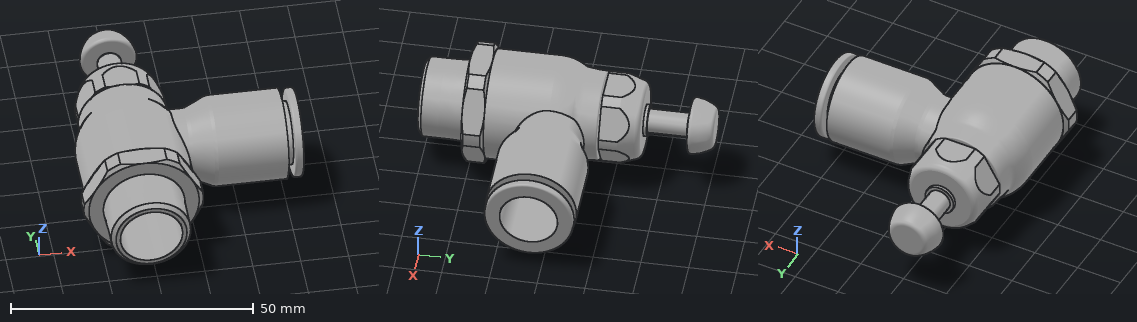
import cadquery as cq
import math


body_radius = 11.45
body_bottom = -13.4
shoulder_mid = (11.15, 2.3)
shoulder_top = (10.15, 4.65)
blend_mid = (9.75, 5.45)
collar_base = (9.6, 6.25)
collar_top = 9.9
collar_top_radius = 9.3
collar_fillet = 0.3

hex_width = 23.0
hex_corner_radius = 12.5
hex_height = 4.65
hex_chamfer_height = 0.55
hex_bottom = body_bottom - hex_height

spigot_bottom = -27.8
spigot_root_radius = 8.5
spigot_radius = 8.3
spigot_taper_end = -23.3
spigot_chamfer_height = 0.8
spigot_chamfer_width = 0.9

inlet_radius = 6.5
outlet_radius = 6.05

nut_bottom = 10.3
nut_top = 18.6
nut_width = 17.2
nut_corner_radius = 9.3
dome_start = 14.2
dome_mid = (nut_width / 2, 16.4)
dome_end = (8.25, 17.4)
crown_mid = (7.85, 18.2)
crown_radius = 7.0

stem_collar_radius = 3.3
stem_collar_top = 19.35
stem_radius = 2.5
stem_top = 27.65
stem_tip_radius = 2.25
knob_bottom = 28.1
knob_bottom_radius = 5.25
knob_lip_mid = (5.8, 28.4)
knob_widest = (5.95, 28.95)
knob_side_mid = (5.45, 31.1)
knob_shoulder = (4.5, 32.85)
knob_crown_mid = (4.05, 33.3)
knob_top_radius = 3.4
knob_top = 33.4

neck_radius = 7.35
neck_end = 11.9
sleeve_start = 16.6
sleeve_radius = 9.5
sleeve_end = 31.65
cone_fillet = 1.85
groove_radius = 6.6
flange_start = 33.05
flange_radius = 9.3
flange_fillet = 0.5
branch_end = 34.9


def turned_about_y(outline):
    return outline.close().revolve(360, (0, 0, 0), (0, 1, 0))


def hexagon(width, bottom, top):
    """Hexagonal prism along Y with two flats facing +Z and -Z."""
    across_corners = width / math.cos(math.pi / 6)
    end_plane = cq.Plane(origin=(0, bottom, 0), xDir=(1, 0, 0), normal=(0, 1, 0))
    return cq.Workplane(end_plane).polygon(6, across_corners).extrude(top - bottom)


def main_body():
    outline = (
        cq.Workplane("XY")
        .moveTo(0, body_bottom)
        .lineTo(body_radius, body_bottom)
        .lineTo(body_radius, 0)
        .threePointArc(shoulder_mid, shoulder_top)
        .threePointArc(blend_mid, collar_base)
        .lineTo(collar_top_radius, collar_top)
        .lineTo(0, collar_top)
    )
    return turned_about_y(outline).faces(">Y").edges().fillet(collar_fillet)


def mounting_hex():
    end_radius = hex_width / 2
    outline = (
        cq.Workplane("XY")
        .moveTo(0, hex_bottom)
        .lineTo(end_radius, hex_bottom)
        .lineTo(hex_corner_radius, hex_bottom + hex_chamfer_height)
        .lineTo(hex_corner_radius, body_bottom - hex_chamfer_height)
        .lineTo(end_radius, body_bottom)
        .lineTo(0, body_bottom)
    )
    return turned_about_y(outline).intersect(hexagon(hex_width, hex_bottom, body_bottom))


def spigot():
    outline = (
        cq.Workplane("XY")
        .moveTo(0, hex_bottom)
        .lineTo(spigot_root_radius, hex_bottom)
        .lineTo(spigot_radius, spigot_taper_end)
        .lineTo(spigot_radius, spigot_bottom + spigot_chamfer_height)
        .lineTo(spigot_radius - spigot_chamfer_width, spigot_bottom)
        .lineTo(0, spigot_bottom)
    )
    return turned_about_y(outline)


def lock_nut():
    outline = (
        cq.Workplane("XY")
        .moveTo(0, nut_bottom)
        .lineTo(nut_corner_radius, nut_bottom)
        .lineTo(nut_corner_radius, dome_start)
        .threePointArc(dome_mid, dome_end)
        .threePointArc(crown_mid, (crown_radius, nut_top))
        .lineTo(0, nut_top)
    )
    return turned_about_y(outline).intersect(hexagon(nut_width, nut_bottom, nut_top))


def stem_and_knob():
    """Stem rooted inside the collar, so it also bridges the gap below the lock nut."""
    stem_root = collar_base[1]
    outline = (
        cq.Workplane("XY")
        .moveTo(0, stem_root)
        .lineTo(stem_collar_radius, stem_root)
        .lineTo(stem_collar_radius, stem_collar_top)
        .lineTo(stem_radius, stem_collar_top)
        .lineTo(stem_radius, stem_top)
        .lineTo(stem_tip_radius, knob_bottom)
        .lineTo(knob_bottom_radius, knob_bottom)
        .threePointArc(knob_lip_mid, knob_widest)
        .threePointArc(knob_side_mid, knob_shoulder)
        .threePointArc(knob_crown_mid, (knob_top_radius, knob_top))
        .lineTo(0, knob_top)
    )
    return turned_about_y(outline)


def branch():
    sleeve_outline = (
        cq.Workplane("XY")
        .lineTo(0, neck_radius)
        .lineTo(neck_end, neck_radius)
        .lineTo(sleeve_start, sleeve_radius)
        .lineTo(sleeve_end, sleeve_radius)
        .lineTo(sleeve_end, 0)
        .close()
    )
    sleeve = sleeve_outline.revolve(360, (0, 0, 0), (1, 0, 0))
    cone_edges = cq.selectors.BoxSelector(
        (neck_end - cone_fillet, -sleeve_radius, -sleeve_radius),
        (sleeve_start + cone_fillet, sleeve_radius, sleeve_radius),
    )
    sleeve = sleeve.edges("%CIRCLE").edges(cone_edges).fillet(cone_fillet)

    groove_core = cq.Workplane("YZ").circle(groove_radius).extrude(flange_start)
    flange = (
        cq.Workplane("YZ", origin=(flange_start, 0, 0))
        .circle(flange_radius)
        .extrude(branch_end - flange_start)
        .edges("%CIRCLE")
        .fillet(flange_fillet)
    )
    return sleeve.union(groove_core).union(flange)


def passage():
    """Inlet up the spigot, turned by a spherical elbow into the branch."""
    inlet = cq.Workplane("XZ").circle(inlet_radius).extrude(-spigot_bottom)
    elbow = cq.Workplane("XY").sphere(outlet_radius)
    outlet = cq.Workplane("YZ").circle(outlet_radius).extrude(branch_end)
    return inlet.union(elbow).union(outlet)


outer_shape = (
    main_body()
    .union(mounting_hex())
    .union(spigot())
    .union(stem_and_knob())
    .union(lock_nut())
    .union(branch())
)
result = outer_shape.cut(passage())